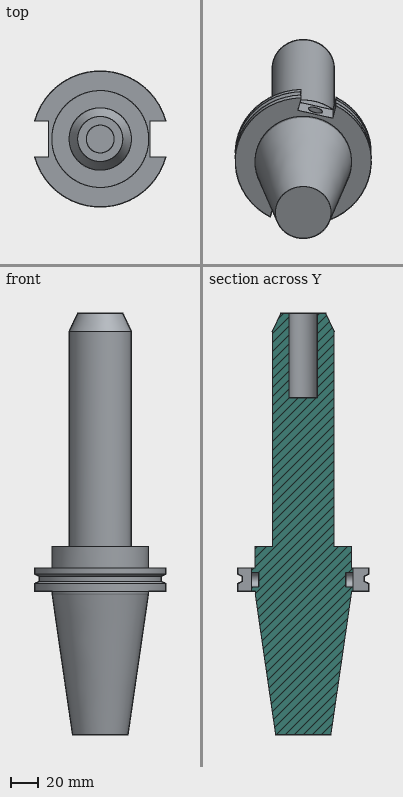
import cadquery as cq

total_height = 304.8
gauge_height = 101.8
flange_bottom = 103.5
flange_top = 120.7
boss_top = 136.2
tip_chamfer_height = 13.0

taper_small_diameter = 40.2
gauge_diameter = 69.8
boss_diameter = 70.0
flange_diameter = 98.5
shank_diameter = 45.0
tip_diameter = 32.5

groove_height = 112.8
groove_diameter = 92.0
groove_mouth_width = 6.7
groove_floor_width = 3.7

slot_width = 26.0
deep_slot_distance = 36.0
shallow_slot_distance = 37.5
slot_hole_diameter = 10.5
slot_hole_depth = 5.2

bore_diameter = 20.0
bore_depth = 61.0


def make_turned_body():
    """Revolve the taper, grooved flange, boss and shank about Z."""
    flange_radius = flange_diameter / 2
    groove_radius = groove_diameter / 2
    profile = [
        (0, 0),
        (taper_small_diameter / 2, 0),
        (gauge_diameter / 2, gauge_height),
        (gauge_diameter / 2, flange_bottom),
        (flange_radius, flange_bottom),
        (flange_radius, groove_height - groove_mouth_width / 2),
        (groove_radius, groove_height - groove_floor_width / 2),
        (groove_radius, groove_height + groove_floor_width / 2),
        (flange_radius, groove_height + groove_mouth_width / 2),
        (flange_radius, flange_top),
        (boss_diameter / 2, flange_top),
        (boss_diameter / 2, boss_top),
        (shank_diameter / 2, boss_top),
        (shank_diameter / 2, total_height - tip_chamfer_height),
        (tip_diameter / 2, total_height),
        (0, total_height),
    ]
    return cq.Workplane("XZ").polyline(profile).close().revolve(360, (0, 0), (0, 1))


def make_drive_slot(side, floor_distance):
    """Cutter for the slot and its floor hole; side is -1 or 1 along X."""
    flange_thickness = flange_top - flange_bottom
    flange_middle = (flange_top + flange_bottom) / 2
    slot_length = flange_diameter / 2
    slot = (
        cq.Workplane("XY")
        .box(slot_length, slot_width, flange_thickness)
        .translate((side * (floor_distance + slot_length / 2), 0, flange_middle))
    )
    hole = (
        cq.Workplane("YZ", origin=(side * floor_distance, 0, 0))
        .center(0, flange_middle)
        .circle(slot_hole_diameter / 2)
        .extrude(-side * slot_hole_depth)
    )
    return slot.union(hole)


result = make_turned_body()

for side, floor_distance in ((-1, shallow_slot_distance), (1, deep_slot_distance)):
    result = result.cut(make_drive_slot(side, floor_distance))

result = result.faces(">Z").workplane(origin=(0, 0, total_height)).hole(bore_diameter, bore_depth)